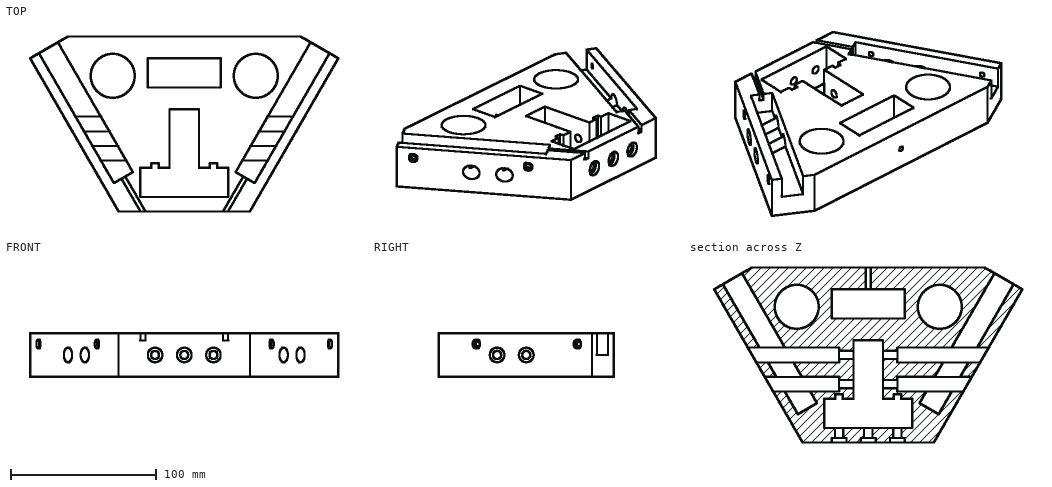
import cadquery as cq
import math

THICKNESS = 30.0
DEPTH = 120.0
FRONT_HALF_WIDTH = 45.0
EAR_Y = 105.0
SIDE_ANGLE = 60.0
MID_Z = THICKNESS / 2

SIDE_TAN = math.tan(math.radians(SIDE_ANGLE))
SIDE_LENGTH = EAR_Y / math.sin(math.radians(SIDE_ANGLE))
EAR_HALF_WIDTH = FRONT_HALF_WIDTH + EAR_Y / SIDE_TAN
BACK_HALF_WIDTH = EAR_HALF_WIDTH - (DEPTH - EAR_Y) * SIDE_TAN

CHANNEL_WALL = 7.0
CHANNEL_WIDTH = 15.0
CHANNEL_DEPTH = 15.0
CHANNEL_LENGTH = 102.75
SLIT_WIDTH = 3.0
SLIT_DEPTH = 5.0

WALL_HOLE_Z = 22.5
WALL_HOLE_PITCH = 80.0
EAR_TO_WALL_HOLE = 11.5
WALL_HOLE_DIAMETER = 3.3
WALL_HOLE_BORE = 6.0
WALL_HOLE_BORE_DEPTH = 2.0

ROUND_HOLE_DIAMETER = 30.0
ROUND_HOLE_X = 49.0
ROUND_HOLE_Y = 93.0
WINDOW_WIDTH = 50.0
WINDOW_FRONT_Y = 85.0
WINDOW_BACK_Y = 105.0
FOOT_WIDTH = 60.0
FOOT_FRONT_Y = 10.0
FOOT_BACK_Y = 30.0
STEM_WIDTH = 20.0
STEM_BACK_Y = 70.0
NOTCH_WIDTH = 5.0
NOTCH_DEPTH = 3.0

BOLT_DIAMETER = 5.5
BOLT_BORE = 10.0
FRONT_BOLT_X = 20.0
FRONT_BORE_DEPTH = 3.0
CROSS_BOLT_YS = (40.0, 60.0)
CROSS_BOLT_SEAT_X = 20.0
BACK_HOLE_DIAMETER = 3.3

INWARD = (-1, 0, 0)
OUTWARD = (1, 0, 0)
BACKWARD = (0, 1, 0)
UP = (0, 0, 1)


def box(x_min, x_max, y_min, y_max, z_min=0.0, z_max=THICKNESS):
    size = (x_max - x_min, y_max - y_min, z_max - z_min)
    return cq.Workplane("XY").box(*size, centered=False).translate((x_min, y_min, z_min))


def rod(diameter, start, direction, length):
    return cq.Workplane(cq.Solid.makeCylinder(diameter / 2, length, cq.Vector(*start), cq.Vector(*direction)))


def along_right_side(shape):
    """Move a shape built with -X pointing inward and Y from the front corner to the ear."""
    turned = shape.rotate((0, 0, 0), (0, 0, 1), SIDE_ANGLE - 90)
    return turned.translate((FRONT_HALF_WIDTH, 0, 0))


def on_both_sides(shape):
    return shape.union(shape.mirror("YZ"))


def plate():
    right_edge = [(FRONT_HALF_WIDTH, 0), (EAR_HALF_WIDTH, EAR_Y), (BACK_HALF_WIDTH, DEPTH)]
    left_edge = [(-x, y) for x, y in reversed(right_edge)]
    return cq.Workplane("XY").polyline(right_edge + left_edge).close().extrude(THICKNESS)


def side_cuts():
    """Channel, slit and wall screw holes of the right side, mirrored to the left."""
    channel_end = SIDE_LENGTH - CHANNEL_LENGTH
    channel_middle = CHANNEL_WALL + CHANNEL_WIDTH / 2
    cuts = box(-CHANNEL_WALL - CHANNEL_WIDTH, -CHANNEL_WALL, channel_end, SIDE_LENGTH,
               THICKNESS - CHANNEL_DEPTH)
    slit_inner = -channel_middle - SLIT_WIDTH / 2
    slit_start = slit_inner / SIDE_TAN
    cuts = cuts.union(box(slit_inner, slit_inner + SLIT_WIDTH, slit_start, channel_end,
                          THICKNESS - SLIT_DEPTH))
    first_hole = SIDE_LENGTH - EAR_TO_WALL_HOLE
    for along in (first_hole, first_hole - WALL_HOLE_PITCH):
        start = (0, along, WALL_HOLE_Z)
        cuts = cuts.union(rod(WALL_HOLE_DIAMETER, start, INWARD, channel_middle))
        cuts = cuts.union(rod(WALL_HOLE_BORE, start, INWARD, WALL_HOLE_BORE_DEPTH))
    return on_both_sides(along_right_side(cuts))


def vertical_openings():
    cuts = box(-WINDOW_WIDTH / 2, WINDOW_WIDTH / 2, WINDOW_FRONT_Y, WINDOW_BACK_Y)
    cuts = cuts.union(box(-FOOT_WIDTH / 2, FOOT_WIDTH / 2, FOOT_FRONT_Y, FOOT_BACK_Y))
    cuts = cuts.union(box(-STEM_WIDTH / 2, STEM_WIDTH / 2, FOOT_BACK_Y, STEM_BACK_Y))
    notch = box(FRONT_BOLT_X - NOTCH_WIDTH / 2, FRONT_BOLT_X + NOTCH_WIDTH / 2,
                FOOT_BACK_Y, FOOT_BACK_Y + NOTCH_DEPTH)
    round_hole = rod(ROUND_HOLE_DIAMETER, (ROUND_HOLE_X, ROUND_HOLE_Y, 0), UP, THICKNESS)
    return cuts.union(on_both_sides(notch)).union(on_both_sides(round_hole))


def front_bolts():
    """Three counterbored holes in the front wall and a small hole through the back wall."""
    cuts = rod(BACK_HOLE_DIAMETER, (0, WINDOW_BACK_Y, MID_Z), BACKWARD, DEPTH - WINDOW_BACK_Y)
    for x in (-FRONT_BOLT_X, 0, FRONT_BOLT_X):
        cuts = cuts.union(rod(BOLT_DIAMETER, (x, 0, MID_Z), BACKWARD, FOOT_FRONT_Y))
        cuts = cuts.union(rod(BOLT_BORE, (x, 0, MID_Z), BACKWARD, FRONT_BORE_DEPTH))
    return cuts


def cross_bolts():
    """Holes along X from the slanted sides to the stem, with deep counterbores crossing the channels."""
    cuts = cq.Workplane("XY")
    for y in CROSS_BOLT_YS:
        cuts = cuts.union(rod(BOLT_DIAMETER, (0, y, MID_Z), OUTWARD, EAR_HALF_WIDTH))
        cuts = cuts.union(rod(BOLT_BORE, (CROSS_BOLT_SEAT_X, y, MID_Z), OUTWARD, EAR_HALF_WIDTH))
    return on_both_sides(cuts)


result = (
    plate()
    .cut(side_cuts())
    .cut(vertical_openings())
    .cut(front_bolts())
    .cut(cross_bolts())
)